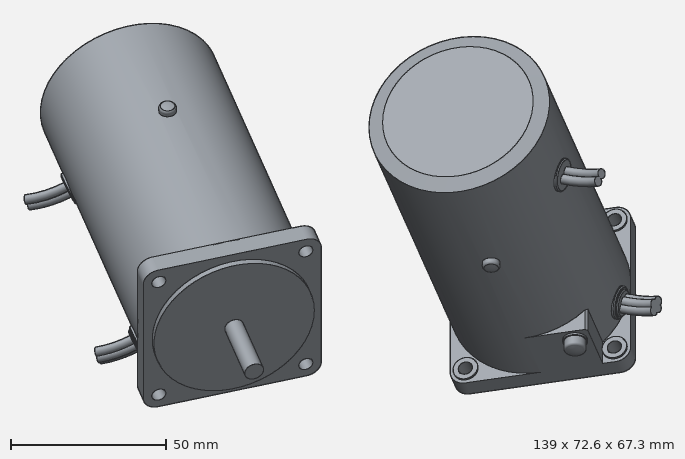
import cadquery as cq
import math

body_radius = 30.0
rear_face_radius = 25.0
rear_cone_length = 1.7

flange_rear = 108.5
flange_front = 115.0
flange_size = 2 * body_radius
flange_corner_radius = 5.0
pilot_diameter = 54.0
pilot_length = 2.0
shaft_diameter = 6.35
shaft_length = 22.0

bolt_circle_diameter = 70.0
bolt_hole_diameter = 4.7
bolt_seat_diameter = 8.2
bolt_seat_height = 0.7

plug_x = 43.75
plug_radius = 2.85
plug_wall_height = 0.85
plug_shoulder_radius = 2.35
plug_shoulder_height = 2.1
plug_height = 2.45

block_rear = 88.2
block_side = 20.7
block_edge_chamfer = 0.8

screw_x = 93.1
screw_y = -15.4
screw_collar_diameter = 8.0
screw_collar_height = 0.75
screw_radius = 3.6
screw_wall_height = 3.4
screw_shoulder_radius = 2.8
screw_shoulder_height = 4.3
screw_height = 4.87

outlet_tilt = 22.0
outlet_embed = 3.0
outlet_root = body_radius - outlet_embed
outlet_radius = 5.5
outlet_top = 30.7
outlet_chamfer = 0.4
cable_bend_radius = 30.0

rear_outlet_x = 27.3
rear_wire_diameter = 3.2
rear_wire_offset = 1.5
rear_cable_angle = 27.0

front_outlet_x = 102.8
front_ring_radius = 4.6
front_ring_top = 31.5
front_wire_diameter = 3.2
front_wire_offset_across = 1.9
front_wire_offset_along = 1.0
front_cable_angle = 24.0


def x_cylinder(diameter, start, end):
    """Cylinder on the motor axis between two X positions."""
    return cq.Workplane("YZ", origin=(start, 0, 0)).circle(diameter / 2).extrude(end - start)


def make_body():
    """Revolved body with a conical rear edge, pilot boss and shaft."""
    profile = [
        (0, 0),
        (0, rear_face_radius),
        (rear_cone_length, body_radius),
        (flange_front, body_radius),
        (flange_front, 0),
    ]
    barrel = cq.Workplane("XY").polyline(profile).close().revolve(360, (0, 0, 0), (1, 0, 0))
    pilot_end = flange_front + pilot_length
    pilot = x_cylinder(pilot_diameter, flange_rear, pilot_end)
    shaft = x_cylinder(shaft_diameter, flange_rear, pilot_end + shaft_length)
    return barrel.union(pilot).union(shaft)


def bolt_points():
    offset = bolt_circle_diameter / 2 / math.sqrt(2)
    return [(y, z) for y in (-offset, offset) for z in (-offset, offset)]


def make_flange():
    """Square plate with rounded corners and a raised seat around each hole."""
    plate = (
        cq.Workplane("YZ", origin=(flange_rear, 0, 0))
        .rect(flange_size, flange_size)
        .extrude(flange_front - flange_rear)
        .edges("|X")
        .fillet(flange_corner_radius)
    )
    seats = (
        cq.Workplane("YZ", origin=(flange_rear - bolt_seat_height, 0, 0))
        .pushPoints(bolt_points())
        .circle(bolt_seat_diameter / 2)
        .extrude(bolt_seat_height)
    )
    return plate.union(seats)


def make_bolt_holes():
    return (
        cq.Workplane("YZ", origin=(flange_rear - bolt_seat_height, 0, 0))
        .pushPoints(bolt_points())
        .circle(bolt_hole_diameter / 2)
        .extrude(flange_front - flange_rear + bolt_seat_height)
    )


def make_domed_head(radius, wall_height, shoulder_radius, shoulder_height, height):
    """Head standing on Z = 0: straight wall, rounded shoulder and shallow dome."""
    dome_rise = height - shoulder_height
    dome_radius = (shoulder_radius**2 + dome_rise**2) / (2 * dome_rise)
    dome_mid_x = shoulder_radius / 2
    dome_mid_z = height - dome_radius + math.sqrt(dome_radius**2 - dome_mid_x**2)
    quarter = math.sin(math.radians(45))
    shoulder_mid_x = shoulder_radius + (radius - shoulder_radius) * quarter
    shoulder_mid_z = wall_height + (shoulder_height - wall_height) * quarter
    return (
        cq.Workplane("XZ")
        .lineTo(radius, 0)
        .lineTo(radius, wall_height)
        .threePointArc((shoulder_mid_x, shoulder_mid_z), (shoulder_radius, shoulder_height))
        .threePointArc((dome_mid_x, dome_mid_z), (0, height))
        .close()
        .revolve(360, (0, 0, 0), (0, 1, 0))
    )


def make_plugs():
    """Domed heads above and below, on a rod through the body."""
    rod = cq.Workplane("XY", origin=(0, 0, -body_radius)).circle(plug_radius).extrude(2 * body_radius)
    head = make_domed_head(
        plug_radius, plug_wall_height, plug_shoulder_radius, plug_shoulder_height, plug_height
    ).translate((0, 0, body_radius))
    return rod.union(head).union(head.mirror("XY")).translate((plug_x, 0, 0))


def make_terminal_block():
    """Block filling the corner below the body, its bottom level with the body's lowest line."""
    block_top = -math.sqrt(body_radius**2 - block_side**2)
    return (
        cq.Workplane("XY", origin=(block_rear, 0, -body_radius))
        .rect(flange_rear - block_rear, -block_side, centered=False)
        .extrude(block_top + body_radius)
        .edges("|Z and <X and <Y")
        .chamfer(block_edge_chamfer)
    )


def make_screw():
    """Domed head below the block with a thin collar."""
    head = make_domed_head(
        screw_radius, screw_wall_height, screw_shoulder_radius, screw_shoulder_height, screw_height
    )
    collar = cq.Workplane("XY").circle(screw_collar_diameter / 2).extrude(screw_collar_height)
    return head.union(collar).mirror("XY").translate((screw_x, screw_y, -body_radius))


def outlet_plane(x, distance):
    """Plane facing radially outwards; local x runs along X, local y around the body."""
    tilt = math.radians(outlet_tilt)
    outward = (0, -math.cos(tilt), -math.sin(tilt))
    origin = (x, distance * outward[1], distance * outward[2])
    return cq.Plane(origin=origin, xDir=(1, 0, 0), normal=outward)


def make_cable(x, root, wire_centres, wire_diameter, bend_angle):
    """Bundle of merged wires, leaving radially and bending towards -X."""
    cable = cq.Workplane("XY")
    for along, across in wire_centres:
        bend_centre = -cable_bend_radius - along
        wire = (
            cq.Workplane(outlet_plane(x, root))
            .center(along, across)
            .circle(wire_diameter / 2)
            .revolve(bend_angle, (bend_centre, 1, 0), (bend_centre, 0, 0))
        )
        stub = (
            cq.Workplane(outlet_plane(x, outlet_root))
            .center(along, across)
            .circle(wire_diameter / 2)
            .extrude(root - outlet_root)
        )
        cable = cable.union(wire).union(stub)
    return cable


def make_outlet_disc(x, radius, top):
    """Radial disc with a chamfered outer rim."""
    rim = cq.NearestToPointSelector(outlet_plane(x, top).origin.toTuple())
    return (
        cq.Workplane(outlet_plane(x, outlet_root))
        .circle(radius)
        .extrude(top - outlet_root)
        .faces(rim)
        .edges()
        .chamfer(outlet_chamfer)
    )


def make_rear_outlet():
    """Low disc with a flat two-wire cable."""
    disc = make_outlet_disc(rear_outlet_x, outlet_radius, outlet_top)
    wires = [(0, -rear_wire_offset), (0, rear_wire_offset)]
    return disc.union(make_cable(rear_outlet_x, outlet_top, wires, rear_wire_diameter, rear_cable_angle))


def make_front_outlet():
    """Stepped disc with a cable of four wires in a diamond."""
    disc = make_outlet_disc(front_outlet_x, outlet_radius, outlet_top)
    ring = make_outlet_disc(front_outlet_x, front_ring_radius, front_ring_top)
    wires = [
        (0, -front_wire_offset_across),
        (0, front_wire_offset_across),
        (-front_wire_offset_along, 0),
        (front_wire_offset_along, 0),
    ]
    cable = make_cable(front_outlet_x, front_ring_top, wires, front_wire_diameter, front_cable_angle)
    return disc.union(ring).union(cable)


result = (
    make_body()
    .union(make_flange())
    .union(make_terminal_block())
    .union(make_plugs())
    .union(make_screw())
    .union(make_rear_outlet())
    .union(make_front_outlet())
    .cut(make_bolt_holes())
)